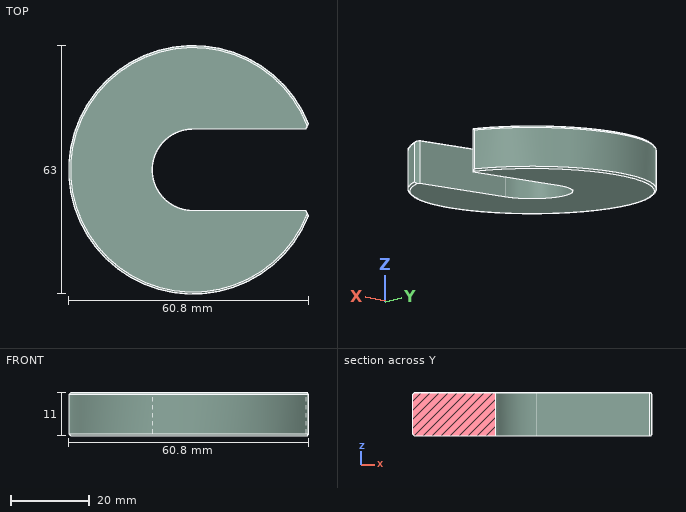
import cadquery as cq
import math

outer_diameter = 63.0
thickness = 11.0
slot_width = 20.6
rim_chamfer = 0.5
overall_length = 60.75
tip_chamfer_length = 0.65

outer_radius = outer_diameter / 2
slot_radius = slot_width / 2

tip_x = overall_length - outer_radius
tip_y = math.sqrt(outer_radius**2 - tip_x**2)
wall_end_x = tip_x - tip_chamfer_length


def chamfered_disc():
    """Disc standing on the XY plane, with both rim edges chamfered."""
    disc = cq.Workplane("XY").circle(outer_radius).extrude(thickness)
    return disc.faces("<Z or >Z").edges().chamfer(rim_chamfer)


def open_slot():
    """Through slot open towards +X: concentric round end, parallel walls, bevelled mouth."""
    return (
        cq.Workplane("XY")
        .moveTo(0, slot_radius)
        .threePointArc((-slot_radius, 0), (0, -slot_radius))
        .lineTo(wall_end_x, -slot_radius)
        .lineTo(tip_x, -tip_y)
        .lineTo(outer_radius, -tip_y)
        .lineTo(outer_radius, tip_y)
        .lineTo(tip_x, tip_y)
        .lineTo(wall_end_x, slot_radius)
        .close()
        .extrude(thickness)
    )


result = chamfered_disc().cut(open_slot())